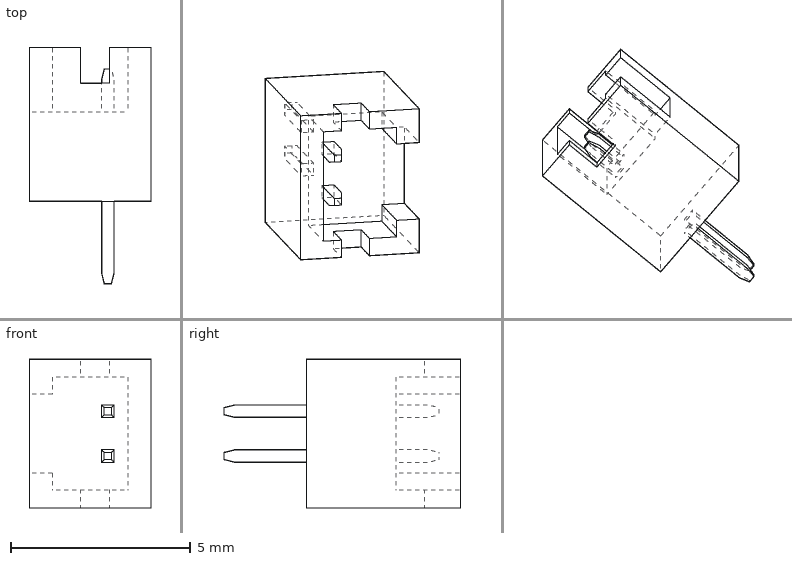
import cadquery as cq

housing_width = 3.4
housing_depth = 4.3
housing_height = 4.15
rear_y = housing_depth

side_wall = 0.65
end_wall = 0.5
cavity_depth = 1.8

window_height = 2.2

slot_start_x = 1.43
slot_width = 0.8
slot_depth = 1.0

pin_count = 2
pin_pitch = 1.25
pin_size = 0.35
pin_x = 2.19
pin_tail_length = 2.3
pin_rear_setback = 0.6
tip_size = 0.2
tip_length = 0.3

cavity_floor_y = rear_y - cavity_depth
mid_z = housing_height / 2


def block(x_start, y_start, z_start, x_size, y_size, z_size):
    """Box placed by its lowest corner."""
    box = cq.Workplane("XY").box(x_size, y_size, z_size, centered=False)
    return box.translate((x_start, y_start, z_start))


def make_housing():
    body = block(0, 0, 0, housing_width, housing_depth, housing_height)
    cavity = block(
        side_wall,
        cavity_floor_y,
        end_wall,
        housing_width - 2 * side_wall,
        cavity_depth,
        housing_height - 2 * end_wall,
    )
    window = block(
        0,
        cavity_floor_y,
        mid_z - window_height / 2,
        side_wall,
        cavity_depth,
        window_height,
    )
    slots = block(slot_start_x, rear_y - slot_depth, 0, slot_width, slot_depth, housing_height)
    return body.cut(cavity).cut(window).cut(slots)


def make_tip(base_y, z, direction):
    """Tapered pin end that narrows from base_y; direction is +1 for +Y or -1 for -Y."""
    base_plane = cq.Plane(origin=(pin_x, base_y, z), xDir=(1, 0, 0), normal=(0, direction, 0))
    return (
        cq.Workplane(base_plane)
        .rect(pin_size, pin_size)
        .workplane(offset=tip_length)
        .rect(tip_size, tip_size)
        .loft(ruled=True)
    )


def make_pin(z):
    shank_front_y = tip_length - pin_tail_length
    shank_rear_y = rear_y - pin_rear_setback - tip_length
    shank = block(
        pin_x - pin_size / 2,
        shank_front_y,
        z - pin_size / 2,
        pin_size,
        shank_rear_y - shank_front_y,
        pin_size,
    )
    front_tip = make_tip(shank_front_y, z, -1)
    rear_tip = make_tip(shank_rear_y, z, 1)
    return shank.union(front_tip).union(rear_tip)


result = make_housing()
for pin_index in range(pin_count):
    pin_z = mid_z + (pin_index - (pin_count - 1) / 2) * pin_pitch
    result = result.union(make_pin(pin_z))